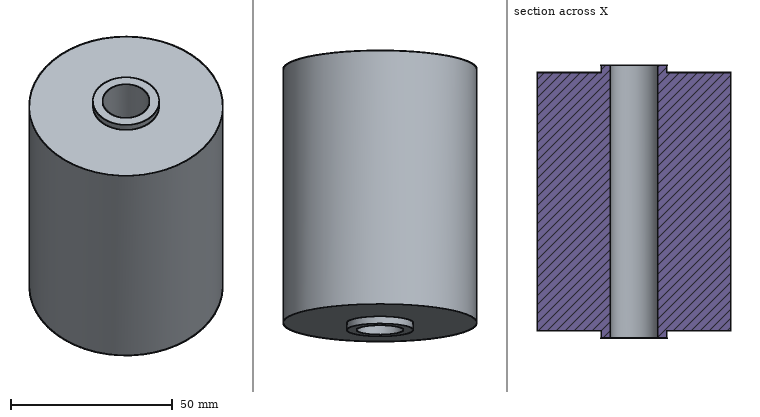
import cadquery as cq

total_length = 84.5
roller_length = 80.0
roller_diameter = 60.0
hub_diameter = 20.5
bore_diameter = 14.5


def centred_cylinder(diameter, length):
    """Cylinder along Z, centred on the origin."""
    return cq.Workplane("XY").cylinder(length, diameter / 2)


roller = centred_cylinder(roller_diameter, roller_length)

hub = centred_cylinder(hub_diameter, total_length)

bore = centred_cylinder(bore_diameter, total_length)

result = roller.union(hub).cut(bore)